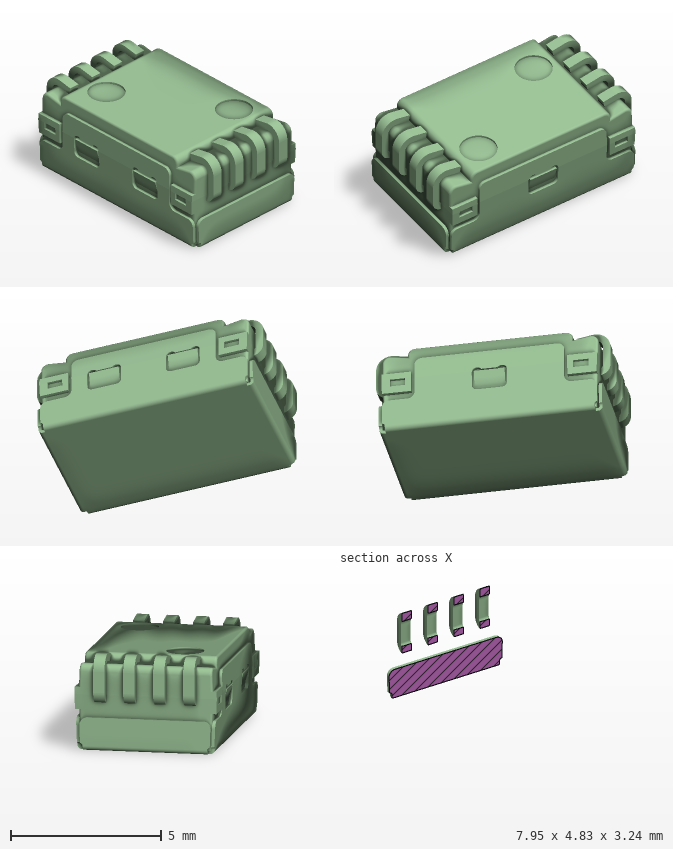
import cadquery as cq
import math

LENGTH = 7.95
WIDTH = 4.83
HEIGHT = 3.24
DRAFT = math.tan(math.radians(2))

PARTING_Z = 1.88
CORE_HALF_X = 3.66
CORE_HALF_Y = 2.28
CORE_TOP_Z = 3.13
CORE_EDGE_RADIUS = 0.08
DECK_HALF_X = 2.80
DECK_EDGE_RADIUS = 0.24
SHOULDER_PEAK_Z = 2.945
SHOULDER_RADIUS = 0.245
SHOULDER_SLOPE = math.radians(10)

MARK_DIAMETER = 1.27
MARK_DEPTH = 0.07
MARK_CENTRES = [(1.87, 1.29), (-1.87, -0.99)]

BLOCK_INNER_X = 2.65
BLOCK_ROOT_Y = 2.10
BLOCK_BOTTOM_Z = 1.37
BLOCK_TOP_Z = 2.12
POCKET_INNER_X = 2.85
POCKET_OUTER_X = 3.37
POCKET_DEPTH = 0.10

LEAD_THICKNESS = 0.254
LEAD_WIDTH = 0.381
LEAD_PITCH = 1.016
LEADS_PER_SIDE = 4
LEAD_LOWER_RADIUS = 0.381
LEAD_UPPER_RADIUS = 0.523
LEAD_TIP_X = 2.85
LEAD_ROOT_X = 3.50

SHEET = 0.11
BEND_RADIUS = 0.155
SHELL_CORNER_RADIUS = 0.25
SHELL_HALF_X = 3.79
SIDE_HALF_X = 3.65
SIDE_LOW_Z = 1.11
SIDE_HIGH_Z = 2.64
SIDE_HIGH_HALF_X = 2.54
END_HALF_Y = 2.23
END_TOP_Z = 1.115
RELIEF_RADIUS = 0.09

WINDOW_WIDTH = 1.19
WINDOW_BOTTOM_Z = 1.18
WINDOW_TOP_Z = 1.945
WINDOW_RADIUS = 0.175
EAR_TOP_Z = 2.02
LUG_WIDTH = 1.045
LUG_BOTTOM_Z = 1.34
FRONT_LATCH_X = [-1.387, 1.387]
REAR_LATCH_X = [0]


def half_at(half, z):
    """Half width at height z of a long side drafted away from the parting plane."""
    return half - abs(z - PARTING_Z) * DRAFT


def end_half_at(z):
    """Half length of the core at height z: drafted below the parting plane, upright above."""
    return CORE_HALF_X - max(PARTING_Z - z, 0) * DRAFT


def along_y(points, y_from, y_to):
    """Prism from an XZ outline, spanning y_from to y_to."""
    return (
        cq.Workplane("XZ", origin=(0, y_from, 0))
        .polyline(points)
        .close()
        .extrude(y_from - y_to)
    )


def along_x(points, half_length):
    """Prism from a YZ outline, centred on X = 0."""
    return cq.Workplane("YZ").polyline(points).close().extrude(half_length, both=True)


def box_between(x_range, y_range, z_range):
    sizes = [high - low for low, high in (x_range, y_range, z_range)]
    corner = (x_range[0], y_range[0], z_range[0])
    return cq.Workplane("XY").box(*sizes, centered=False).translate(corner)


def mirrored(points):
    """Close a right-hand half outline with its mirror image."""
    return points + [(-across, z) for across, z in reversed(points)]


def drafted_section(half, bottom, top):
    """Outline that tapers up and down from the parting plane."""
    return mirrored([
        (half_at(half, bottom), bottom),
        (half, PARTING_Z),
        (half_at(half, top), top),
    ])


def make_core():
    valley_z = SHOULDER_PEAK_Z - (CORE_HALF_X - DECK_HALF_X) * math.tan(SHOULDER_SLOPE)
    upper = along_y(
        mirrored([
            (CORE_HALF_X, PARTING_Z),
            (CORE_HALF_X, SHOULDER_PEAK_Z),
            (DECK_HALF_X, valley_z),
            (DECK_HALF_X, CORE_TOP_Z),
        ]),
        -WIDTH, WIDTH,
    )
    upper = upper.edges("|Y and >Z").fillet(DECK_EDGE_RADIUS)
    for x in (-CORE_HALF_X, CORE_HALF_X):
        peak = cq.selectors.NearestToPointSelector((x, 0, SHOULDER_PEAK_Z))
        upper = upper.edges("|Y").edges(peak).fillet(SHOULDER_RADIUS)
    lower = along_y(
        mirrored([
            (end_half_at(SHEET), SHEET),
            (CORE_HALF_X, PARTING_Z),
        ]),
        -WIDTH, WIDTH,
    )
    sides = along_x(drafted_section(CORE_HALF_Y, SHEET, CORE_TOP_Z), LENGTH)
    upper = upper.intersect(sides)
    upper = upper.faces("<Y or >Y").edges("not <Z").fillet(CORE_EDGE_RADIUS)
    lower = lower.intersect(sides)
    lower = lower.edges("not(|X or |Y)").fillet(CORE_EDGE_RADIUS)
    marks = (
        cq.Workplane("XY", origin=(0, 0, CORE_TOP_Z))
        .pushPoints(MARK_CENTRES)
        .circle(MARK_DIAMETER / 2)
        .extrude(-MARK_DEPTH)
    )
    return upper.union(lower).cut(marks)


def make_corner_blocks():
    section = drafted_section(WIDTH / 2, BLOCK_BOTTOM_Z, BLOCK_TOP_Z)
    ends = along_y(
        mirrored([
            (end_half_at(BLOCK_BOTTOM_Z), BLOCK_BOTTOM_Z),
            (CORE_HALF_X, PARTING_Z),
            (CORE_HALF_X, BLOCK_TOP_Z),
        ]),
        -WIDTH, WIDTH,
    )
    blocks = along_x(section, LENGTH).intersect(ends)
    z_range = (0, HEIGHT)
    blocks = blocks.cut(box_between((-BLOCK_INNER_X, BLOCK_INNER_X), (-WIDTH, WIDTH), z_range))
    blocks = blocks.cut(box_between((-LENGTH, LENGTH), (-BLOCK_ROOT_Y, BLOCK_ROOT_Y), z_range))
    pocket = box_between(
        (POCKET_INNER_X, POCKET_OUTER_X),
        (WIDTH / 2 - POCKET_DEPTH, WIDTH / 2),
        (PARTING_Z - LEAD_THICKNESS, PARTING_Z),
    )
    pockets = pocket.union(pocket.mirror("YZ"))
    return blocks.cut(pockets).cut(pockets.mirror("XZ"))


def make_lead(y):
    """Lead on the +X end: out of the core, up the end and back over the shoulder."""
    outer_x = LENGTH / 2
    inner_x = outer_x - LEAD_THICKNESS
    bottom_z = PARTING_Z - LEAD_THICKNESS
    low_x = outer_x - LEAD_LOWER_RADIUS
    low_z = bottom_z + LEAD_LOWER_RADIUS
    high_x = outer_x - LEAD_UPPER_RADIUS
    high_z = HEIGHT - LEAD_UPPER_RADIUS
    low_inner_radius = LEAD_LOWER_RADIUS - LEAD_THICKNESS
    high_inner_radius = LEAD_UPPER_RADIUS - LEAD_THICKNESS
    tip_angle = math.pi / 2 + SHOULDER_SLOPE

    def upper_arc(radius, angle):
        return high_x + radius * math.cos(angle), high_z + radius * math.sin(angle)

    def lower_arc(radius):
        reach = radius * math.sqrt(0.5)
        return low_x + reach, low_z - reach

    outer_end = upper_arc(LEAD_UPPER_RADIUS, tip_angle)
    inner_end = upper_arc(high_inner_radius, tip_angle)
    tip_x = LEAD_TIP_X - outer_end[0]
    tip_z = tip_x * math.tan(SHOULDER_SLOPE)
    return (
        cq.Workplane("XZ", origin=(0, y + LEAD_WIDTH / 2, 0))
        .moveTo(LEAD_ROOT_X, bottom_z)
        .lineTo(low_x, bottom_z)
        .threePointArc(lower_arc(LEAD_LOWER_RADIUS), (outer_x, low_z))
        .lineTo(outer_x, high_z)
        .threePointArc(upper_arc(LEAD_UPPER_RADIUS, tip_angle / 2), outer_end)
        .line(tip_x, tip_z)
        .lineTo(inner_end[0] + tip_x, inner_end[1] + tip_z)
        .lineTo(*inner_end)
        .threePointArc(upper_arc(high_inner_radius, tip_angle / 2), (inner_x, high_z))
        .lineTo(inner_x, low_z)
        .threePointArc(lower_arc(low_inner_radius), (low_x, PARTING_Z))
        .lineTo(LEAD_ROOT_X, PARTING_Z)
        .close()
        .extrude(LEAD_WIDTH)
    )


def make_leads():
    leads = cq.Workplane("XY")
    for index in range(LEADS_PER_SIDE):
        y = (index - (LEADS_PER_SIDE - 1) / 2) * LEAD_PITCH
        lead = make_lead(y)
        leads = leads.union(lead).union(lead.mirror("YZ"))
    return leads


def fold_outline(half):
    """Lower corner of a strap outline, notched along the bend of the other strap."""
    notch = half - RELIEF_RADIUS
    return [(notch, 0), (notch, BEND_RADIUS), (half, BEND_RADIUS)]


def relief_holes(plane, half):
    """Round reliefs where the folds of two straps meet, as through cutters."""
    return (
        cq.Workplane(plane)
        .pushPoints([(-half, BEND_RADIUS), (half, BEND_RADIUS)])
        .circle(RELIEF_RADIUS)
        .extrude(LENGTH, both=True)
    )


def make_side_strap():
    """Sheet folded up along both long sides, trimmed to a stepped outline."""
    outer = along_x(drafted_section(CORE_HALF_Y + SHEET, 0, SIDE_HIGH_Z), SIDE_HALF_X)
    inner = along_x(drafted_section(CORE_HALF_Y, SHEET, HEIGHT), LENGTH)
    outer = outer.edges("|X and <Z").fillet(BEND_RADIUS)
    inner = inner.edges("|X and <Z").fillet(BEND_RADIUS - SHEET)
    outline = along_y(
        mirrored(
            fold_outline(SIDE_HALF_X) + [
                (SIDE_HALF_X, SIDE_LOW_Z),
                (SIDE_HIGH_HALF_X, SIDE_LOW_Z),
                (SIDE_HIGH_HALF_X, SIDE_HIGH_Z),
            ]
        ),
        -WIDTH, WIDTH,
    )
    above_fold = cq.selectors.BoxSelector((-LENGTH, -WIDTH, SIDE_LOW_Z / 2), (LENGTH, WIDTH, HEIGHT))
    outline = outline.edges("|Y").edges(above_fold).fillet(SHELL_CORNER_RADIUS)
    outline = outline.cut(relief_holes("XZ", SIDE_HALF_X))
    return outer.cut(inner).intersect(outline)


def make_end_strap():
    """Sheet folded up at both ends, with edges that taper toward the bottom."""
    x_range = (-SHELL_HALF_X, SHELL_HALF_X)
    inner_half = SHELL_HALF_X - SHEET
    outer = box_between(x_range, (-WIDTH, WIDTH), (0, END_TOP_Z))
    inner = box_between((-inner_half, inner_half), (-WIDTH, WIDTH), (SHEET, HEIGHT))
    outer = outer.edges("|Y and <Z").fillet(BEND_RADIUS)
    inner = inner.edges("|Y and <Z").fillet(BEND_RADIUS - SHEET)
    fold_half_y = END_HALF_Y - (END_TOP_Z - BEND_RADIUS) * DRAFT
    outline = along_x(mirrored(fold_outline(fold_half_y) + [(END_HALF_Y, END_TOP_Z)]), LENGTH)
    outline = outline.edges("|X and >Z").fillet(SHELL_CORNER_RADIUS)
    outline = outline.cut(relief_holes("YZ", fold_half_y))
    return outer.cut(inner).intersect(outline)


def make_window(x):
    """Rounded opening on the +Y side with two round ears along its top edge."""
    y_range = (CORE_HALF_Y / 2, WIDTH)
    half = WINDOW_WIDTH / 2
    ear_x = half - WINDOW_RADIUS
    ear_z = EAR_TOP_Z - WINDOW_RADIUS
    window = box_between((x - half, x + half), y_range, (WINDOW_BOTTOM_Z, ear_z))
    window = window.edges("|Y and <Z").fillet(WINDOW_RADIUS)
    window = window.union(box_between((x - ear_x, x + ear_x), y_range, (WINDOW_BOTTOM_Z, WINDOW_TOP_Z)))
    ears = (
        cq.Workplane("XZ", origin=(0, y_range[1], 0))
        .pushPoints([(x - ear_x, ear_z), (x + ear_x, ear_z)])
        .circle(WINDOW_RADIUS)
        .extrude(y_range[1] - y_range[0])
    )
    return window.union(ears)


def make_lug(x):
    """Wedge on the +Y side, standing proudest at the parting plane."""
    wedge = [
        (half_at(CORE_HALF_Y, LUG_BOTTOM_Z), LUG_BOTTOM_Z),
        (WIDTH / 2, PARTING_Z),
        (CORE_HALF_Y / 2, PARTING_Z),
        (CORE_HALF_Y / 2, LUG_BOTTOM_Z),
    ]
    return along_x(wedge, LUG_WIDTH / 2).translate((x, 0, 0))


def make_latches(make_feature):
    """Repeat one +Y feature at every latch place on both long sides."""
    latches = cq.Workplane("XY")
    for x in REAR_LATCH_X:
        latches = latches.union(make_feature(x))
    for x in FRONT_LATCH_X:
        latches = latches.union(make_feature(x).mirror("XZ"))
    return latches


side_strap = make_side_strap().cut(make_latches(make_window))
shell = side_strap.union(make_end_strap())

result = (
    make_core()
    .union(make_corner_blocks())
    .union(make_leads())
    .union(shell)
    .union(make_latches(make_lug))
)